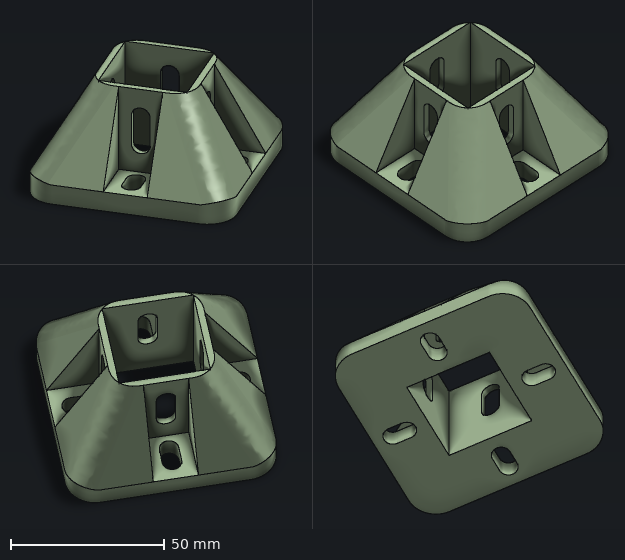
import cadquery as cq

base_side = 70.0
top_side = 35.0
height = 37.0
base_thickness = 7.0
corner_radius = 10.0

socket_side = 30.25
recess_width = 15.0

slot_width = 6.4
base_slot_length = 11.5
base_slot_offset = 25.4
wall_slot_length = 16.5
wall_slot_height = 22.0


def rounded_pyramid():
    """Truncated pyramid with rounded slanted edges, continued down to the bottom plane."""
    spread_per_height = (base_side - top_side) / (height - base_thickness)
    bottom_side = base_side + spread_per_height * base_thickness
    return (
        cq.Workplane("XY")
        .rect(bottom_side, bottom_side)
        .workplane(offset=height)
        .rect(top_side, top_side)
        .loft(ruled=True)
        .edges("not(<Z or >Z)")
        .fillet(corner_radius)
    )


def rounded_block():
    """Upright block that trims the pyramid to the outline of the base."""
    return (
        cq.Workplane("XY")
        .box(base_side, base_side, height, centered=(True, True, False))
        .edges("|Z")
        .fillet(corner_radius)
    )


def side_cutter():
    """Recess on the +X side with its base slot and wall slot."""
    recess_depth = (base_side - top_side) / 2
    recess = cq.Workplane("XY").box(
        recess_depth, recess_width, height - base_thickness, centered=(False, True, False)
    ).translate((top_side / 2, 0, base_thickness))
    base_slot = (
        cq.Workplane("XY")
        .center(base_slot_offset, 0)
        .slot2D(base_slot_length, slot_width)
        .extrude(base_thickness)
    )
    wall_slot = (
        cq.Workplane("YZ")
        .center(0, wall_slot_height)
        .slot2D(wall_slot_length, slot_width, angle=90)
        .extrude(base_side / 2)
    )
    return recess.union(base_slot).union(wall_slot)


result = rounded_pyramid().intersect(rounded_block())

socket = cq.Workplane("XY").rect(socket_side, socket_side).extrude(height)
result = result.cut(socket)

for angle in (0, 90, 180, 270):
    result = result.cut(side_cutter().rotate((0, 0, 0), (0, 0, 1), angle))